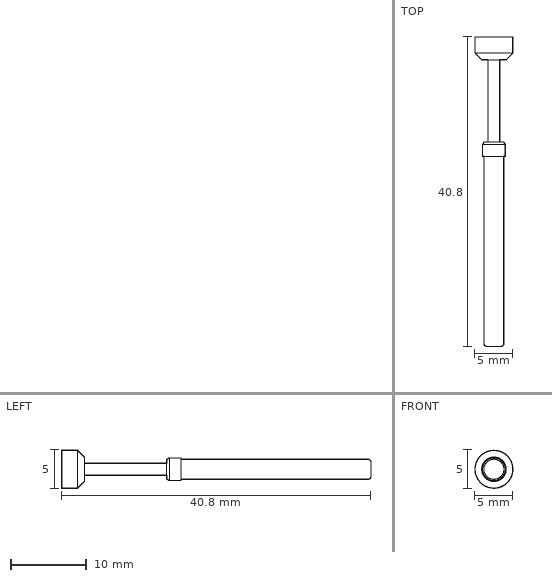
import cadquery as cq

length = 40.8
back_y = length / 2

head_diameter = 5.0
head_length = 3.0
head_chamfer = 0.9

rod_diameter = 1.6

collar_diameter = 3.0
collar_length = 1.9
collar_setback = 13.85
collar_chamfer_length = 0.35
collar_chamfer_depth = 0.2

barrel_diameter = 2.65
barrel_rounding = 0.4

collar_end = collar_setback + collar_length


def cylinder(diameter, start, end):
    """Cylinder on the Y axis; start and end are distances from the back face of the head."""
    return (
        cq.Workplane("XZ", origin=(0, back_y - start, 0))
        .circle(diameter / 2)
        .extrude(end - start)
    )


def cone(back_diameter, front_diameter, start, end):
    """Truncated cone on the Y axis; start and end are distances from the back face of the head."""
    return (
        cq.Workplane("XZ", origin=(0, back_y - start, 0))
        .circle(back_diameter / 2)
        .workplane(offset=end - start)
        .circle(front_diameter / 2)
        .loft()
    )


head = cylinder(head_diameter, 0, head_length).faces("<Y").edges().chamfer(head_chamfer)
rod = cylinder(rod_diameter, head_length, collar_setback)
collar_face_diameter = collar_diameter - 2 * collar_chamfer_depth
collar_chamfer_end = collar_setback + collar_chamfer_length
collar_chamfer = cone(collar_face_diameter, collar_diameter, collar_setback, collar_chamfer_end)
collar = cylinder(collar_diameter, collar_chamfer_end, collar_end).union(collar_chamfer)
barrel = cylinder(barrel_diameter, collar_end, length).faces("<Y").edges().fillet(barrel_rounding)

result = head.union(rod).union(collar).union(barrel)